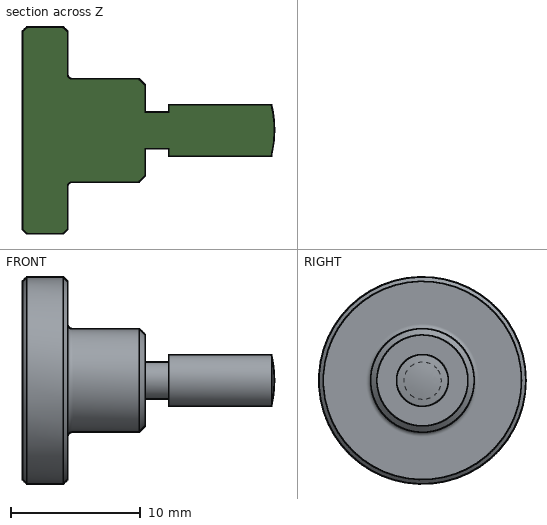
import cadquery as cq

total_length = 19.47

head_radius = 8.0
head_thickness = 3.5
head_chamfer = 0.35

hub_radius = head_radius / 2
hub_end = 9.5
hub_chamfer = 0.49
hub_fillet = 0.35

neck_radius = 1.45
neck_end = 11.3

stud_radius = head_radius / 4
dome_height = 0.23
stud_end = total_length - dome_height


def cylinder(start, end, radius):
    """Solid cylinder on the X axis between two X positions."""
    return cq.Workplane("YZ").workplane(offset=start).circle(radius).extrude(end - start)


def domed_stud():
    """Stud with a shallow spherical end, revolved from its half profile."""
    sphere_radius = (stud_radius**2 + dome_height**2) / (2 * dome_height)
    sphere_center = total_length - sphere_radius
    mid_radius = stud_radius / 2
    mid_x = sphere_center + (sphere_radius**2 - mid_radius**2) ** 0.5
    return (
        cq.Workplane("XY")
        .moveTo(neck_end, 0)
        .lineTo(neck_end, stud_radius)
        .lineTo(stud_end, stud_radius)
        .threePointArc((mid_x, mid_radius), (total_length, 0))
        .close()
        .revolve(360, (0, 0, 0), (1, 0, 0))
    )


head = cylinder(0, head_thickness, head_radius).edges().chamfer(head_chamfer)

hub = cylinder(head_thickness, hub_end, hub_radius).faces(">X").edges().chamfer(hub_chamfer)
root_edge = cq.selectors.RadiusNthSelector(0)
knob = head.union(hub)
knob = knob.edges(cq.selectors.BoxSelector(
    (head_thickness - hub_fillet / 2, -head_radius, -head_radius),
    (head_thickness + hub_fillet / 2, head_radius, head_radius),
)).edges(root_edge).fillet(hub_fillet)

neck = cylinder(hub_end, neck_end, neck_radius)
result = knob.union(neck).union(domed_stud())